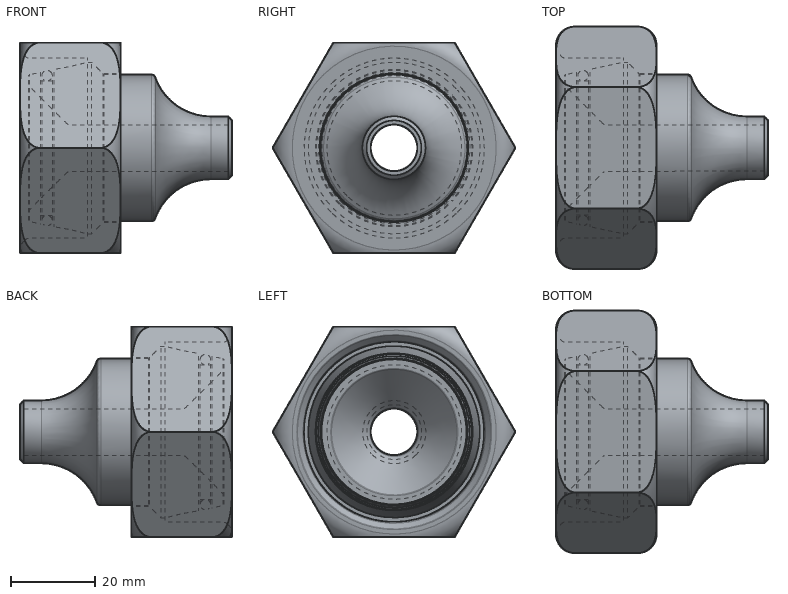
import cadquery as cq
import math


nut_length = 24.0
nut_sides = 6
nut_across_flats = 50.0
nut_corner_radius = 28.85
nut_edge_round = 4.6
mouth_radius = 23.1
mouth_edge_round = 0.25
thread_radius = 42.8 / 2
nut_bore_radius = 35.35 / 2

nipple_face_x = 1.95
nipple_end_x = 50.5
barrel_radius = 34.9 / 2
collar_radius = 40.8 / 2
collar_length = 1.0
cone_half_angle = math.radians(12)
nose_chamfer = 0.25
neck_radius = 15.0 / 2
neck_start_x = 45.35
neck_chamfer = 1.0
flare_radius = 13.95
through_hole_radius = 11.0 / 2
funnel_radius = 15.0
mouth_lip_round = 0.3

corner_round = 1.0

ring_section_diameter = 2.5
groove_floor_radius = 16.0
groove_start_x = 4.85
groove_width = 3.2

nut_across_corners = nut_across_flats / math.cos(math.pi / nut_sides)
cone_slope = math.tan(cone_half_angle)
cone_start_x = nipple_face_x + nose_chamfer
collar_start_x = cone_start_x + (collar_radius - barrel_radius) / cone_slope
collar_end_x = collar_start_x + collar_length
shoulder_end_x = collar_end_x + (collar_radius - barrel_radius)
seat_end_x = collar_end_x + (collar_radius - nut_bore_radius)
mouth_depth = mouth_radius - thread_radius
funnel_end_x = nipple_face_x + (funnel_radius - through_hole_radius)
flare_centre_radius = neck_radius + flare_radius
flare_start_x = neck_start_x - math.sqrt(flare_radius**2 - (flare_centre_radius - barrel_radius) ** 2)
flare_mid_angle = math.asin((neck_start_x - flare_start_x) / flare_radius) / 2
flare_mid_x = neck_start_x - flare_radius * math.sin(flare_mid_angle)
flare_mid_radius = flare_centre_radius - flare_radius * math.cos(flare_mid_angle)
ring_section_radius = ring_section_diameter / 2
ring_centre_radius = groove_floor_radius + ring_section_radius
ring_centre_x = groove_start_x + groove_width / 2


def turned(outline):
    """Revolve a closed (x, radius) outline about the X axis."""
    return outline.close().revolve(360, (0, 0, 0), (1, 0, 0))


def fillet_circle(body, x, radius, fillet_radius):
    """Round the circular edge that a body has at the given x and radius."""
    tolerance = 0.005
    edges = body.edges("%CIRCLE").filter(
        lambda edge: abs(edge.Center().x - x) < tolerance and abs(edge.radius() - radius) < tolerance
    )
    return edges.fillet(fillet_radius)


def make_nut():
    """Hexagon nut with rounded ends, thread bore, 45 degree seat and rear bore."""
    hexagon = cq.Workplane("YZ").polygon(nut_sides, nut_across_corners).extrude(nut_length)
    envelope = cq.Workplane("YZ").circle(nut_corner_radius).extrude(nut_length)
    envelope = envelope.faces("<X or >X").edges().fillet(nut_edge_round)

    bore = turned(
        cq.Workplane("XY")
        .lineTo(0, mouth_radius)
        .lineTo(mouth_depth, thread_radius)
        .lineTo(collar_start_x, thread_radius)
        .lineTo(collar_start_x, collar_radius)
        .lineTo(collar_end_x, collar_radius)
        .lineTo(seat_end_x, nut_bore_radius)
        .lineTo(nut_length, nut_bore_radius)
        .lineTo(nut_length, 0)
    )
    nut = hexagon.intersect(envelope).cut(bore)
    nut = fillet_circle(nut, mouth_depth, thread_radius, corner_round)
    return fillet_circle(nut, 0, mouth_radius, mouth_edge_round)


def make_nipple():
    """Turned nipple with its sealing cone, collar, barrel, flared neck and funnel bore."""
    nipple = turned(
        cq.Workplane("XY")
        .moveTo(nipple_face_x, funnel_radius)
        .lineTo(nipple_face_x, barrel_radius - nose_chamfer)
        .lineTo(cone_start_x, barrel_radius)
        .lineTo(collar_start_x, collar_radius)
        .lineTo(collar_end_x, collar_radius)
        .lineTo(shoulder_end_x, barrel_radius)
        .lineTo(flare_start_x, barrel_radius)
        .threePointArc((flare_mid_x, flare_mid_radius), (neck_start_x, neck_radius))
        .lineTo(nipple_end_x - neck_chamfer, neck_radius)
        .lineTo(nipple_end_x, neck_radius - neck_chamfer)
        .lineTo(nipple_end_x, through_hole_radius)
        .lineTo(funnel_end_x, through_hole_radius)
    )
    nipple = fillet_circle(nipple, flare_start_x, barrel_radius, corner_round)
    nipple = fillet_circle(nipple, funnel_end_x, through_hole_radius, corner_round)
    nipple = fillet_circle(nipple, nipple_face_x, funnel_radius, mouth_lip_round)
    return nipple.cut(make_groove())


def make_groove():
    """Square groove in the sealing cone, a little wider than the O-ring section."""
    return (
        cq.Workplane("YZ", origin=(groove_start_x, 0, 0))
        .circle(collar_radius)
        .circle(groove_floor_radius)
        .extrude(groove_width)
    )


def make_o_ring():
    """O-ring that rests on the groove floor and stands proud of the sealing cone."""
    section = cq.Workplane("XY").center(ring_centre_x, ring_centre_radius).circle(ring_section_radius)
    return section.revolve(360, (0, -ring_centre_radius, 0), (1, -ring_centre_radius, 0))


nut = make_nut()
nipple = make_nipple()
o_ring = make_o_ring()

result = cq.Compound.makeCompound([nut.solids().val(), nipple.solids().val(), o_ring.val()])